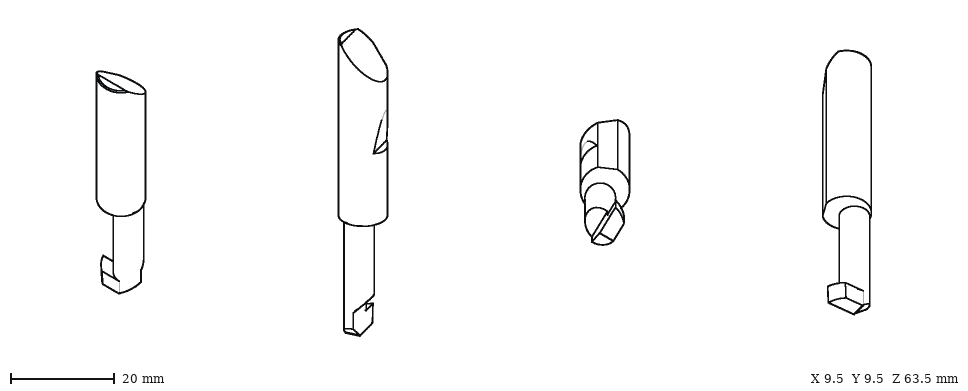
import cadquery as cq
import math

length = 63.5
shank_radius = 4.75
shank_bottom = 25.4
shank_length = length - shank_bottom

chamfer_width = 0.3
chamfer_height = 0.2
bevel_start_y = -3.0
flat_edge_y = 3.5
notch_top = 49.0
notch_floor_z = 40.95
notch_bottom = 40.6
notch_floor_y = 3.6

neck_diameter = 5.9
neck_radius = neck_diameter / 2
neck_x = shank_radius - neck_radius
rake_y = 0.1
rake_top = 6.4
heel_top = 2.85
heel_bottom = 0.2

tip_x = -4.4
head_front_x = -2.35
head_bulge = 0.3
side_draft = 0.2
head_back_height = 4.1
head_front_height = 3.9

overlap = 0.65


def side_prism(points):
    """Prism with a (y, z) outline, reaching past both sides of the shank in X."""
    half_width = shank_radius + overlap
    return cq.Workplane("YZ").polyline(points).close().extrude(half_width, both=True)


def make_shank():
    body = cq.Workplane("XY").workplane(offset=shank_bottom).circle(shank_radius).extrude(shank_length)
    body = body.faces(">Z").edges().chamfer(chamfer_height, chamfer_width)

    flat_edge_x = -math.sqrt(shank_radius**2 - flat_edge_y**2)
    flat_side = (
        cq.Workplane("XY")
        .workplane(offset=shank_bottom)
        .polyline([
            (-shank_radius, 0),
            (flat_edge_x, flat_edge_y),
            (-shank_radius, shank_radius),
        ])
        .close()
        .extrude(shank_length)
    )

    bevel_end_y = shank_radius + overlap
    bevel = side_prism([
        (bevel_start_y, length),
        (bevel_end_y, length - (bevel_end_y - bevel_start_y)),
        (bevel_end_y, length),
    ])

    notch = side_prism([
        (shank_radius, notch_top),
        (notch_floor_y, notch_floor_z),
        (shank_radius, notch_bottom),
    ])
    return body.cut(flat_side).cut(bevel).cut(notch)


def make_neck():
    neck = cq.Workplane("XY").center(neck_x, 0).circle(neck_radius).extrude(shank_bottom)

    back_y = neck_radius + overlap
    rake_cut = side_prism([
        (rake_y, 0),
        (back_y, 0),
        (back_y, rake_top + back_y - rake_y),
        (rake_y, rake_top),
    ])

    heel_cut = (
        cq.Workplane("XZ")
        .polyline([
            (neck_x, 0),
            (neck_x, heel_bottom),
            (shank_radius, heel_top),
            (shank_radius, 0),
        ])
        .close()
        .extrude(neck_radius, both=True)
    )
    return neck.cut(rake_cut).cut(heel_cut)


def head_outline(plane, shift):
    """Plan outline of the head with its curved outer side shifted along X."""
    side_dx = head_front_x - tip_x
    side_dy = -neck_radius - rake_y
    chord = math.hypot(side_dx, side_dy)
    middle_x = (tip_x + head_front_x) / 2 + head_bulge * side_dy / chord
    middle_y = (rake_y - neck_radius) / 2 - head_bulge * side_dx / chord
    return (
        plane.moveTo(neck_x, rake_y)
        .lineTo(tip_x + shift, rake_y)
        .threePointArc((middle_x + shift, middle_y), (head_front_x + shift, -neck_radius))
        .lineTo(neck_x, -neck_radius)
        .close()
    )


def make_head():
    lower = head_outline(cq.Workplane("XY"), side_draft)
    block = head_outline(lower.workplane(offset=head_back_height), 0).loft(ruled=True)
    top_cut = side_prism([
        (rake_y, head_back_height),
        (-neck_radius, head_front_height),
        (-neck_radius, head_back_height),
    ])
    return block.cut(top_cut)


result = make_shank().union(make_neck()).union(make_head())